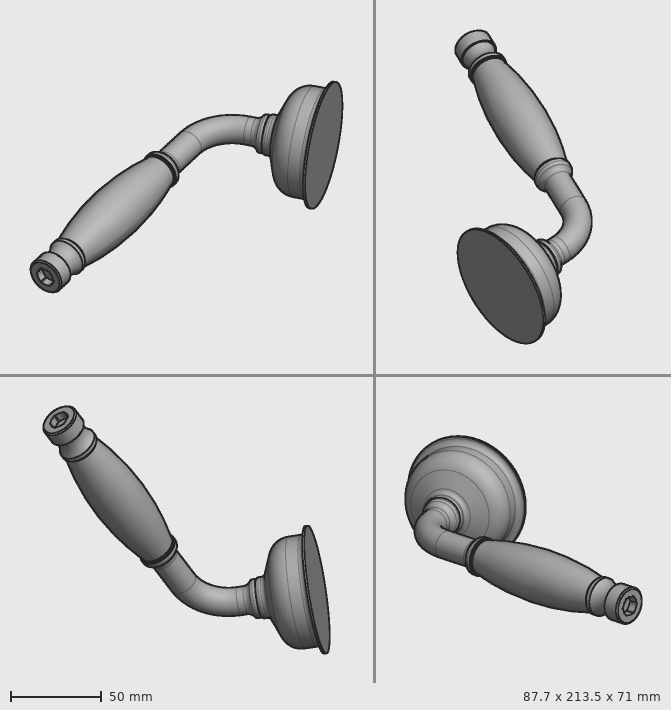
import cadquery as cq
import math

OVERALL_LENGTH = 213.5

TUBE_RADIUS = 8.0
BUTT_RADIUS = 10.5
BUTT_CHAMFER = 0.9
BUTT_TOP = 9.4
BUTT_SHOULDER_RADIUS = 9.5
WAIST_RADIUS = 8.8
WAIST_Y = 13.9
COLLAR_RADIUS = 10.9
COLLAR_EDGE_RADIUS = 10.0
LOWER_COLLAR_BOTTOM = 20.3
LOWER_COLLAR_TOP = 22.8
SOCKET_BORE_RADIUS = 5.3
SOCKET_HEX_RADIUS = 5.8
SOCKET_DEPTH = 5.1

GRIP_BOTTOM = 24.0
GRIP_TOP = 109.0
GRIP_END_RADIUS = 10.0
GRIP_RADIUS = 15.2

UPPER_COLLAR_BOTTOM = 110.3
UPPER_COLLAR_CROWN = 112.3
UPPER_COLLAR_TOP = 114.2
HANDLE_FLARE_TOP = 117.8

RIM_RADIUS = 71.0 / 2
RIM_THICKNESS = 1.3
RIM_FLARE_RADIUS = 3.5
BELL_RADIUS = 31.2
BELL_SHOULDER_FRONT = 11.5
CONE_FRONT = 22.6
CONE_FRONT_RADIUS = 23.7
CONE_BACK = 26.7
CONE_BACK_RADIUS = 14.0
NECK_FLARE_BACK = 29.7
NECK_RADIUS = 11.5
NECK_BEAD_FRONT = 31.0
RING_FRONT = 32.7
RING_RADIUS = 10.9
RING_BEAD_FRONT = 34.5
RING_BACK = 36.0
HEAD_FLARE_BACK = 40.1
HEAD_LENGTH = 44.0

BEND_RADIUS = 28.5
BEND_ANGLE = 72.0
BEND_RADIANS = math.radians(BEND_ANGLE)
HEAD_BACK_X = BEND_RADIUS * (1 - math.cos(BEND_RADIANS))
HEAD_BACK_Y = OVERALL_LENGTH - RIM_RADIUS * math.sin(BEND_RADIANS) - HEAD_LENGTH * math.cos(BEND_RADIANS)
BEND_START_Y = HEAD_BACK_Y - BEND_RADIUS * math.sin(BEND_RADIANS)


def arc_middle(tangent_end, other_end):
    """Middle of the arc that leaves tangent_end parallel to the axis and reaches other_end.

    Points are (radius, place along the axis).
    """
    radius_change = other_end[0] - tangent_end[0]
    axial_change = other_end[1] - tangent_end[1]
    half_turn = math.atan2(abs(radius_change), abs(axial_change))
    axial_share = math.sin(half_turn) / math.sin(2 * half_turn)
    radial_share = (1 - math.cos(half_turn)) / (1 - math.cos(2 * half_turn))
    return (tangent_end[0] + radial_share * radius_change, tangent_end[1] + axial_share * axial_change)


def make_handle():
    collar_crown = (COLLAR_RADIUS, UPPER_COLLAR_CROWN)
    collar_edge = (COLLAR_EDGE_RADIUS, UPPER_COLLAR_TOP)
    flare_top = (TUBE_RADIUS, HANDLE_FLARE_TOP)
    profile = (
        cq.Workplane("XY")
        .lineTo(BUTT_RADIUS - BUTT_CHAMFER, 0)
        .lineTo(BUTT_RADIUS, BUTT_CHAMFER)
        .lineTo(BUTT_RADIUS, BUTT_TOP)
        .lineTo(BUTT_SHOULDER_RADIUS, BUTT_TOP)
        .threePointArc((WAIST_RADIUS, WAIST_Y), (COLLAR_RADIUS, LOWER_COLLAR_BOTTOM))
        .lineTo(COLLAR_RADIUS, LOWER_COLLAR_TOP)
        .lineTo(GRIP_END_RADIUS, LOWER_COLLAR_TOP)
        .lineTo(GRIP_END_RADIUS, GRIP_BOTTOM)
        .lineTo(TUBE_RADIUS, GRIP_BOTTOM)
        .lineTo(TUBE_RADIUS, GRIP_TOP)
        .lineTo(GRIP_END_RADIUS, GRIP_TOP)
        .lineTo(GRIP_END_RADIUS, UPPER_COLLAR_BOTTOM)
        .lineTo(COLLAR_RADIUS, UPPER_COLLAR_BOTTOM)
        .lineTo(*collar_crown)
        .threePointArc(arc_middle(collar_crown, collar_edge), collar_edge)
        .threePointArc(arc_middle(flare_top, collar_edge), flare_top)
        .lineTo(TUBE_RADIUS, BEND_START_Y)
        .lineTo(0, BEND_START_Y)
        .close()
    )
    return profile.revolve(360, (0, 0, 0), (0, 1, 0)).cut(make_socket())


def make_socket():
    """Space of the hexagonal key socket, whose flats are relieved by a round bore."""
    hexagon = cq.Workplane("XZ").polygon(6, 2 * SOCKET_HEX_RADIUS).extrude(-SOCKET_DEPTH)
    bore = cq.Workplane("XZ").circle(SOCKET_BORE_RADIUS).extrude(-SOCKET_DEPTH)
    return hexagon.union(bore)


def make_bend():
    return (
        cq.Workplane("XZ", origin=(0, BEND_START_Y, 0))
        .circle(TUBE_RADIUS)
        .revolve(BEND_ANGLE, (BEND_RADIUS, 2.1, 0), (BEND_RADIUS, 0, 0))
    )


def make_head():
    def point(radius, distance_behind_face):
        return (radius, HEAD_LENGTH - distance_behind_face)

    flare_back = point(TUBE_RADIUS, HEAD_FLARE_BACK)
    ring_edge = point(COLLAR_EDGE_RADIUS, RING_BACK)
    ring_crown = point(RING_RADIUS, RING_BEAD_FRONT)
    neck_edge = point(COLLAR_EDGE_RADIUS, RING_FRONT)
    neck_crown = point(NECK_RADIUS, NECK_BEAD_FRONT)
    neck_front = point(NECK_RADIUS, NECK_FLARE_BACK)
    cone_back = point(CONE_BACK_RADIUS, CONE_BACK)
    cone_front = point(CONE_FRONT_RADIUS, CONE_FRONT)
    shoulder_front = point(BELL_RADIUS, BELL_SHOULDER_FRONT)
    rim_flare_back = point(BELL_RADIUS, RIM_THICKNESS + RIM_FLARE_RADIUS)
    rim_flare_front = point(BELL_RADIUS + RIM_FLARE_RADIUS, RIM_THICKNESS)
    profile = (
        cq.Workplane("XY")
        .lineTo(TUBE_RADIUS, 0)
        .lineTo(*flare_back)
        .threePointArc(arc_middle(flare_back, ring_edge), ring_edge)
        .threePointArc(arc_middle(ring_crown, ring_edge), ring_crown)
        .lineTo(*point(RING_RADIUS, RING_FRONT))
        .lineTo(*neck_edge)
        .threePointArc(arc_middle(neck_crown, neck_edge), neck_crown)
        .lineTo(*neck_front)
        .threePointArc(arc_middle(neck_front, cone_back), cone_back)
        .lineTo(*cone_front)
        .threePointArc(arc_middle(shoulder_front, cone_front), shoulder_front)
        .lineTo(*rim_flare_back)
        .threePointArc(arc_middle(rim_flare_back, rim_flare_front), rim_flare_front)
        .lineTo(*point(RIM_RADIUS, RIM_THICKNESS))
        .lineTo(*point(RIM_RADIUS, 0))
        .lineTo(*point(0, 0))
        .close()
    )
    head = profile.revolve(360, (0, 0, 0), (0, 1, 0))
    return head.rotate((0, 0, 0), (0, 0, 1), -BEND_ANGLE).translate((HEAD_BACK_X, HEAD_BACK_Y, 0))


def make_grip():
    bottom_end = (GRIP_END_RADIUS, GRIP_BOTTOM)
    middle = (GRIP_RADIUS, (GRIP_BOTTOM + GRIP_TOP) / 2)
    top_end = (GRIP_END_RADIUS, GRIP_TOP)
    return (
        cq.Workplane("XY")
        .moveTo(TUBE_RADIUS, GRIP_BOTTOM)
        .lineTo(*bottom_end)
        .spline([middle, top_end], includeCurrent=True)
        .lineTo(TUBE_RADIUS, GRIP_TOP)
        .close()
        .revolve(360, (0, 0, 0), (0, 1, 0))
    )


shower = make_handle().union(make_bend()).union(make_head())
grip = make_grip()
result = cq.Compound.makeCompound([shower.val(), grip.val()])